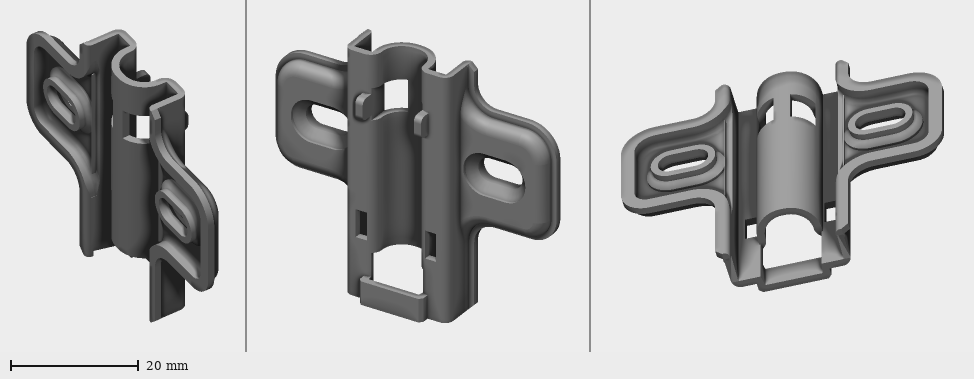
import cadquery as cq

height = 44.0
wing_half = 26.0
depth = 9.3

sheet = 1.25
wall = 1.15
channel_half = 9.65
channel_inner = channel_half - wall
channel_back = 7.05
channel_inside = channel_back - sheet
corner_radius = 1.55
foot_radius = 0.95
groove_flat_half = 0.25
groove_radius = 4.9
groove_half = groove_flat_half + groove_radius
groove_inner_half = groove_half - sheet
groove_lip_radius = 2.0

flange = 1.15
column_half = 10.75
column_chamfer = 1.1
wing_bottom = 16.1
wing_top = 36.75
root_radius_bottom = 3.85
root_radius_top = 3.65
wing_radius_bottom = 4.6
wing_radius_top = 5.5
join_half = 9.5

pad_depth = 3.5
pad_inset_bottom = 0.95
pad_inset_top = 1.065
pad_end_gap = 0.2
pad_fillet = 2.0
recess_inset = 2.2
recess_depth = pad_depth - flange
recess_fillet = pad_fillet - flange

slot_x = 15.95
slot_z = 26.5
slot_length = 8.15
slot_width = 4.2
boss_rim = 1.15
boss_taper = 1.15
boss_straight = 0.8
dimple_lip = 1.25
dimple_spread = 1.65

window_inner = 1.35
window_outer = 4.75
window_bottom = 32.25
window_top = 38.0
prong_bottom = 33.1
prong_top = 36.95
prong_thickness = 1.35
prong_radius = 1.0

side_slot_inner = 5.4
side_slot_outer = 7.45
side_slot_bottom = 10.65
side_slot_top = 15.65

groove_bottom = 8.4
bridge_height = 4.2
bridge_back = 8.9
bridge_inside = bridge_back - sheet
bridge_chamfer = 0.55
notch_front_half = 4.95
notch_back_half = 4.65
bridge_half = notch_back_half + sheet

wall_bevel = 1.05

clearance = 0.5


def block(x0, x1, y0, y1, z0, z1):
    return cq.Workplane("XY").box(x1 - x0, y1 - y0, z1 - z0, centered=False).translate((x0, y0, z0))


def on_both_sides(body):
    return body.union(body.mirror("YZ"))


def arc_to(sketch, center, radius, toward, end):
    """Quarter arc whose middle lies on the diagonal given by the signs in toward."""
    reach = radius * 0.5 ** 0.5
    middle = (center[0] + toward[0] * reach, center[1] + toward[1] * reach)
    return sketch.threePointArc(middle, end)


def channel():
    """Extruded channel section, drawn for the +X half and mirrored."""
    lip_x = groove_inner_half + groove_lip_radius
    lip_y = channel_back - groove_lip_radius
    corner_x = channel_half - corner_radius
    corner_y = channel_back - corner_radius
    groove_center = (groove_flat_half, groove_radius)

    half = cq.Workplane("XY").moveTo(0, 0).lineTo(groove_flat_half, 0)
    half = arc_to(half, groove_center, groove_radius, (1, -1), (groove_half, groove_radius))
    half = half.lineTo(groove_half, channel_inside).lineTo(channel_inner, channel_inside)
    half = half.lineTo(channel_inner, foot_radius)
    foot_center = (channel_inner + foot_radius, foot_radius)
    half = arc_to(half, foot_center, foot_radius, (-1, -1), (foot_center[0], 0))
    half = half.lineTo(channel_half, 0).lineTo(channel_half, corner_y)
    half = arc_to(half, (corner_x, corner_y), corner_radius, (1, 1), (corner_x, channel_back))
    half = half.lineTo(lip_x, channel_back)
    half = arc_to(half, (lip_x, lip_y), groove_lip_radius, (-1, 1), (groove_inner_half, lip_y))
    half = half.lineTo(groove_inner_half, groove_radius)
    half = arc_to(half, groove_center, groove_radius - sheet, (1, -1), (groove_flat_half, sheet))
    half = half.lineTo(0, sheet).close()
    return on_both_sides(half.extrude(height))


def cross(inset_bottom, inset_top, end_gap, thickness):
    """Cross-shaped plate from Y = 0, its outline set in from the flange edge."""
    side = wing_half - inset_bottom
    bottom = wing_bottom + inset_bottom
    top = wing_top - inset_top
    root_bottom = root_radius_bottom + inset_bottom
    root_top = root_radius_top + inset_top
    corner_bottom = wing_radius_bottom - inset_bottom
    corner_top = wing_radius_top - inset_bottom
    column_bottom = column_half - inset_bottom
    column_top = column_half - inset_top

    half = cq.Workplane("XZ").moveTo(0, end_gap).lineTo(column_bottom, end_gap)
    half = half.lineTo(column_bottom, bottom - root_bottom)
    center = (column_bottom + root_bottom, bottom - root_bottom)
    half = arc_to(half, center, root_bottom, (-1, 1), (center[0], bottom))
    center = (side - corner_bottom, bottom + corner_bottom)
    half = half.lineTo(center[0], bottom)
    half = arc_to(half, center, corner_bottom, (1, -1), (side, center[1]))
    center = (side - corner_top, top - corner_top)
    half = half.lineTo(side, center[1])
    half = arc_to(half, center, corner_top, (1, 1), (center[0], top))
    center = (column_top + root_top, top + root_top)
    half = half.lineTo(center[0], top)
    half = arc_to(half, center, root_top, (-1, -1), (column_top, center[1]))
    half = half.lineTo(column_top, height - end_gap).lineTo(0, height - end_gap).close()
    return on_both_sides(half.extrude(-thickness))


def slot_body(length, width, front, back):
    body = cq.Workplane("XZ").slot2D(length, width).extrude(front - back)
    return body.translate((slot_x, front, slot_z))


def tapered_slot(length, width, spread, narrow_y, wide_y):
    """Slot growing by spread per side from narrow_y to wide_y, then straight for a little."""
    body = slot_body(length + 2 * spread, width + 2 * spread, narrow_y, wide_y + clearance)
    return body.faces("<Y").edges().chamfer(spread, wide_y - narrow_y)


def flange_and_pads():
    plate = cross(0, 0, 0, flange)
    plate = plate.edges("|Y").edges("<Z or >Z").chamfer(column_chamfer)
    pads = cross(pad_inset_bottom, pad_inset_top, pad_end_gap, pad_depth)
    pads = pads.faces(">Y").edges().fillet(pad_fillet)
    inside = block(-join_half, join_half, -clearance, depth, -clearance, height + clearance)
    return plate.union(pads).cut(inside)


def recesses():
    """Hollow of both pads; it also takes the foot off the channel walls beside them."""
    hollow = cross(recess_inset, recess_inset, 0, recess_depth)
    hollow = hollow.faces(">Y").edges().fillet(recess_fillet)
    root_low = wing_bottom - root_radius_bottom
    root_high = wing_top + root_radius_top
    side = block(channel_inner, wing_half, -clearance, depth, root_low, root_high)
    return hollow.intersect(on_both_sides(side))


def wall_lips():
    """Thin ridges left standing between the channel walls and the recesses."""
    ridge = block(join_half, channel_half, pad_depth - pad_fillet, recess_depth, wing_bottom, wing_top)
    return on_both_sides(ridge)


def bosses():
    cone_length = slot_length + 2 * boss_rim
    cone_width = slot_width + 2 * boss_rim
    cone = tapered_slot(cone_length, cone_width, boss_taper, boss_straight, recess_depth)
    rim = slot_body(cone_length, cone_width, 0, recess_depth + clearance)
    return on_both_sides(cone.union(rim))


def screw_slots():
    dimple = tapered_slot(slot_length, slot_width, dimple_spread, dimple_lip, pad_depth)
    outside = block(channel_half, wing_half, -clearance, depth, 0, height)
    through = slot_body(slot_length, slot_width, -clearance, depth)
    return on_both_sides(dimple.intersect(outside).union(through))


def prongs():
    prong_outer = window_outer + prong_thickness
    prong = block(window_outer, prong_outer, channel_inside, depth, prong_bottom, prong_top)
    prong = prong.faces(">Y").edges("|X").fillet(prong_radius)
    return on_both_sides(prong)


def windows():
    window = block(window_inner, window_outer, -clearance, channel_back, window_bottom, window_top)
    side_slot = block(
        side_slot_inner, side_slot_outer, 0, channel_back + clearance, side_slot_bottom, side_slot_top
    )
    return on_both_sides(window.union(side_slot))


def bridge():
    body = block(-bridge_half, bridge_half, channel_inside, bridge_back, 0, bridge_height)
    return body.faces(">Y").edges("|Z").chamfer(bridge_chamfer)


def notch():
    """Clears the groove from the lower end and opens the space under the bridge."""
    groove_end = block(-groove_half, groove_half, -clearance, channel_inside, 0, groove_bottom)
    opening = (
        cq.Workplane("XY")
        .moveTo(-notch_front_half, channel_inside)
        .lineTo(notch_front_half, channel_inside)
        .lineTo(notch_back_half, bridge_inside)
        .lineTo(-notch_back_half, bridge_inside)
        .close()
        .extrude(groove_bottom)
    )
    return groove_end.union(opening)


def wall_bevels():
    """Wedges off the lower inner edges of the walls, fading out toward the back and the outside."""
    along = cq.Workplane("YZ").moveTo(channel_inside, 0).lineTo(flange, 0).lineTo(flange, wall_bevel)
    along = along.close().extrude(channel_half)
    across = cq.Workplane("XZ").moveTo(channel_inner, wall_bevel).lineTo(channel_inner, 0)
    across = across.lineTo(channel_half, 0).close().extrude(-channel_inside)
    return on_both_sides(along.intersect(across))


result = channel().union(flange_and_pads())
result = result.cut(recesses()).union(wall_lips())
result = result.union(bosses()).cut(screw_slots())
result = result.union(prongs()).cut(windows())
result = result.union(bridge()).cut(notch()).cut(wall_bevels())